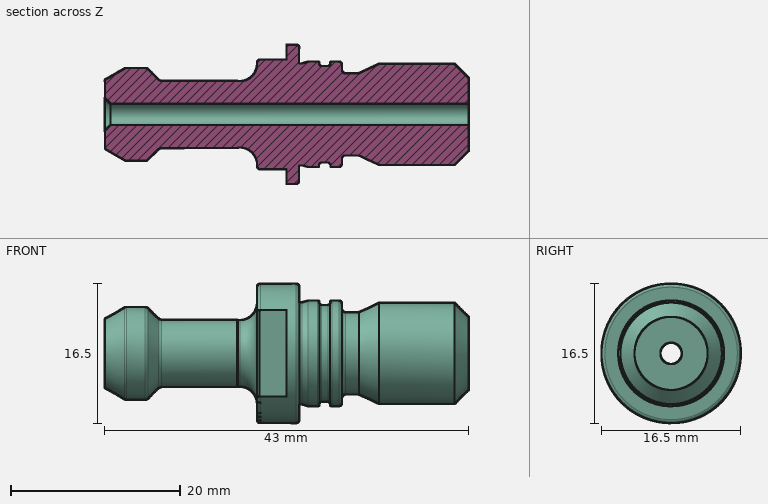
import cadquery as cq
import math

length = 43.0

head_r = 11.0 / 2
head_face_r = 4.1
head_cone_angle = math.radians(30)
head_land_end = 5.0
head_blend = 0.5
head_face_blend = 0.25

shank_r = 8.0 / 2
relief_r = 7.9 / 2
relief_start = 15.6
relief_step = 0.15
flange_root_blend = 1.98

flange_r = 16.5 / 2
flange_start = 17.97
flange_end = 23.0
flange_blend = 0.45
flat_offset = 6.5
flat_end = 21.45
flat_chamfer = 0.3

collar_r = 12.5 / 2
collar_root_r = 12.1 / 2
collar_ramp_start = 23.3
collar_ramp_end = 24.05
groove_r = 11.5 / 2
groove_start = 25.35
groove_end = 26.6
groove_blend = 0.2
collar_end = 28.05
collar_blend = 0.4

neck_r = 9.75 / 2
neck_end = 30.0
tail_r = 12.0 / 2
tail_start = 32.42
tail_chamfer = 1.68

bore_r = 2.5 / 2
countersink_r = 1.95

head_land_start = (head_r - head_face_r) / math.tan(head_cone_angle)
head_end = head_land_end + head_r - shank_r


def turned_body():
    """Revolve the sharp-cornered outline of (x, radius) points."""
    outline = [
        (0, 0),
        (0, head_face_r),
        (head_land_start, head_r),
        (head_land_end, head_r),
        (head_end, shank_r),
        (relief_start, shank_r),
        (relief_start + relief_step, relief_r),
        (flange_start, relief_r),
        (flange_start, flange_r),
        (flange_end, flange_r),
        (flange_end, collar_root_r),
        (collar_ramp_start, collar_root_r),
        (collar_ramp_end, collar_r),
        (groove_start, collar_r),
        (groove_start, groove_r),
        (groove_end, groove_r),
        (groove_end, collar_r),
        (collar_end, collar_r),
        (collar_end, neck_r),
        (neck_end, neck_r),
        (tail_start, tail_r),
        (length - tail_chamfer, tail_r),
        (length, tail_r - tail_chamfer),
        (length, 0),
    ]
    return cq.Workplane("XY").polyline(outline).close().revolve(360, (0, 0, 0), (1, 0, 0))


def round_corner(body, x, radius, blend):
    """Fillet the circular edge of the given radius at position x."""
    tolerance = 0.0005

    def is_corner(edge):
        return abs(edge.Center().x - x) < tolerance and abs(edge.radius() - radius) < tolerance

    return body.edges("%CIRCLE").filter(is_corner).fillet(blend)


def wrench_flat_cutter():
    """Material outside the +Y flat, with a bevel at the flange face."""
    margin = 0.45
    outside = flange_r + margin
    return (
        cq.Workplane("XY")
        .moveTo(flange_start, flat_offset - flat_chamfer)
        .lineTo(flange_start + flat_chamfer, flat_offset)
        .lineTo(flat_end, flat_offset)
        .lineTo(flat_end, outside)
        .lineTo(flange_start, outside)
        .close()
        .extrude(outside, both=True)
    )


def bore_cutter():
    """Through bore with a 45 degree countersink at the head face."""
    outline = [
        (0, 0),
        (0, countersink_r),
        (countersink_r - bore_r, bore_r),
        (length, bore_r),
        (length, 0),
    ]
    return cq.Workplane("XY").polyline(outline).close().revolve(360, (0, 0, 0), (1, 0, 0))


corners = [
    (0, head_face_r, head_face_blend),
    (head_land_start, head_r, head_blend),
    (head_land_end, head_r, head_blend),
    (head_end, shank_r, head_blend),
    (flange_start, relief_r, flange_root_blend),
    (flange_start, flange_r, flange_blend),
    (flange_end, flange_r, flange_blend),
    (groove_start, collar_r, groove_blend),
    (groove_start, groove_r, groove_blend),
    (groove_end, groove_r, groove_blend),
    (groove_end, collar_r, groove_blend),
    (collar_end, collar_r, collar_blend),
    (collar_end, neck_r, collar_blend),
]

result = turned_body()
for corner_x, corner_r, corner_blend in corners:
    result = round_corner(result, corner_x, corner_r, corner_blend)

flat_cutter = wrench_flat_cutter()
result = result.cut(flat_cutter).cut(flat_cutter.mirror("XZ"))
result = result.cut(bore_cutter())